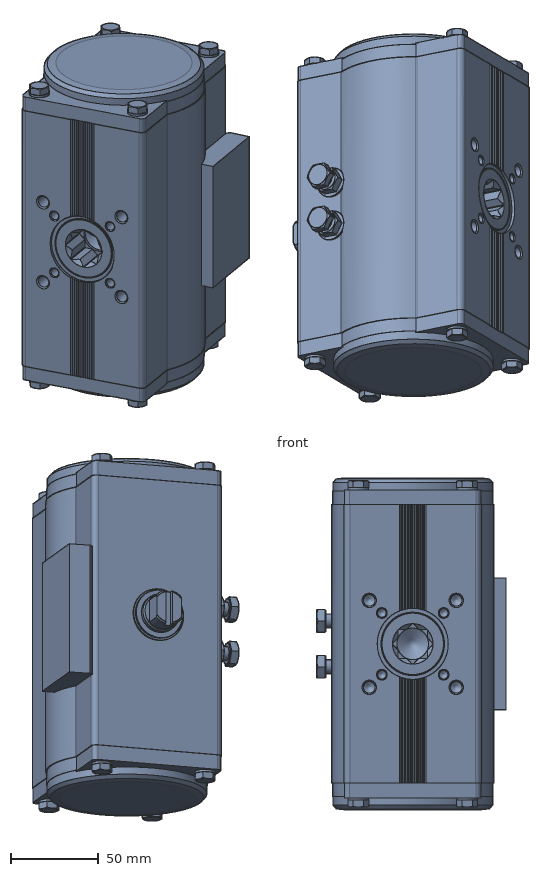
import cadquery as cq
import math


housing_half_length = 79.3
barrel_radius = 46.4
box_half_width = 39.2
box_half_depth = 55.0
box_corner_radius = 3.5
root_fillet = 1.5

serration_count = 11
serration_pitch = 1.36
serration_depth = 1.1
spigot_diameter = 40.5
spigot_depth = 1.9
spigot_floor_y = spigot_depth - box_half_depth
large_hole_offset = 24.8
large_hole_diameter = 6.6
large_hole_mouth = 8.1
large_hole_depth = 14.2
small_hole_offset = 17.6
small_hole_diameter = 5.0
small_hole_mouth = 6.0
small_hole_depth = 11.4
drill_point_angle = 118

pad_half_length = 37.7
pad_face_x = 53.2
pad_bottom_y = 6.5
pad_top_y = 54.9
pad_top_fall = 0.5
pad_root_x = 37.9
pad_chamfer = 1.7

cap_outer_z = 94.6
cap_plate_z = 87.8
cap_half_width = 38.8
cap_half_depth = 54.7
cap_corner_radius = 2.8
skirt_radius = 45.8
skirt_z = 87
drum_radius = 45.6
drum_wall_z = 92.0
crown_radius = 43.7
crown_z = 94.0
top_flat_radius = 38.8
cap_bolt_x = 31.0
cap_bolt_y = 47.0
cap_bolt_top_z = 93.1
cap_bolt_flat = 10.5
cap_bolt_face_diameter = 10.0
cap_bolt_washer_diameter = 11.5
cap_bolt_washer_height = 1.3

pinion_journal_diameter = 36.2
pinion_journal_chamfer = 0.5
pinion_journal_top_y = 0
pinion_neck_diameter = 22.0
pinion_neck_top_y = 62.0
pinion_neck_chamfer_width = 0.8
pinion_neck_chamfer_height = 1.5
flange_diameter = 30.1
flange_top_y = 56.2
collar_diameter = 28.0
collar_top_y = 57.7
shaft_diameter = 19.9
shaft_flat = 15.0
shaft_top_y = 75.0
shaft_chamfer = 1.0
shaft_slot_width = 4.0
shaft_slot_depth = 4.0
socket_flat = 16.7
socket_circle = 23.0
socket_lead_in_width = 2.8
socket_lead_in_height = 2.8
socket_depth = 19
socket_bore_diameter = 18.0
socket_bore_depth = 1.9

screw_y = 31.0
screw_z = 13.0
screw_head_x = -54.9
screw_head_height = 5.0
screw_collar_height = 0.5
screw_collar_diameter = 12.1
screw_diameter = 8.1
screw_end_x = -28.4
hex_flat = 13.0
hex_face_diameter = 12.1
hex_cone_angle = 30
nut_outer_x = -46.0
nut_washer_x = -40.3
nut_washer_diameter = 17.2


def cylinder_y(diameter, start_y, end_y):
    """Cylinder on the Y axis between two Y positions."""
    return cq.Workplane("XZ", origin=(0, start_y, 0)).circle(diameter / 2).extrude(start_y - end_y)


def side_plane(x, z):
    """Plane on a stop screw's axis, facing out along -X, with its own X axis along Y."""
    return cq.Plane(origin=(x, screw_y, z), xDir=(0, 1, 0), normal=(-1, 0, 0))


def screw_cylinder(z, diameter, inner_x, outer_x):
    """Cylinder on a stop screw's axis, from inner_x out to outer_x."""
    return cq.Workplane(side_plane(inner_x, z)).circle(diameter / 2).extrude(inner_x - outer_x)


def hexagon(plane, flat, height, face_diameter):
    """Hexagonal head with corners on the plane's X axis, coned at its far end to a round face."""
    corner_radius = flat / math.sqrt(3)
    fall = (corner_radius - face_diameter / 2) * math.tan(math.radians(hex_cone_angle))
    prism = cq.Workplane(plane).polygon(6, 2 * corner_radius).extrude(height)
    envelope = (
        cq.Workplane(plane)
        .circle(corner_radius)
        .extrude(height)
        .faces(cq.selectors.DirectionMinMaxSelector(plane.zDir, True))
        .chamfer(fall, corner_radius - face_diameter / 2)
    )
    return prism.intersect(envelope)


def rounded_block(half_width, half_depth, half_length, corner_radius):
    """Rectangular block with rounded edges along Z, centred on the origin."""
    block = cq.Workplane("XY").box(2 * half_width, 2 * half_depth, 2 * half_length)
    return block.edges("|Z").fillet(corner_radius)


def make_housing_blank():
    box = rounded_block(box_half_width, box_half_depth, housing_half_length, box_corner_radius)
    barrel = (
        cq.Workplane("XY", origin=(0, 0, -housing_half_length))
        .circle(barrel_radius)
        .extrude(2 * housing_half_length)
    )
    root_y = math.sqrt(barrel_radius**2 - box_half_width**2)
    blank = box.union(barrel)
    for side_x in (-box_half_width, box_half_width):
        for side_y in (-root_y, root_y):
            root_edge = cq.selectors.NearestToPointSelector((side_x, side_y, 0))
            blank = blank.edges("|Z").edges(root_edge).fillet(root_fillet)
    return blank


def make_valve_pad():
    return (
        cq.Workplane("XY", origin=(0, 0, -pad_half_length))
        .moveTo(pad_root_x, pad_bottom_y)
        .lineTo(pad_face_x, pad_bottom_y)
        .lineTo(pad_face_x, pad_top_y - pad_top_fall)
        .lineTo(box_half_width + pad_chamfer, pad_top_y)
        .lineTo(box_half_width, pad_top_y - pad_chamfer)
        .lineTo(pad_root_x, pad_top_y - pad_chamfer)
        .close()
        .extrude(2 * pad_half_length)
    )


def make_serrations():
    """Row of V grooves along Z in the mounting face."""
    left_x = -serration_count * serration_pitch / 2
    row = cq.Workplane("XY", origin=(0, -box_half_depth, -housing_half_length)).moveTo(left_x, 0)
    for index in range(serration_count):
        groove_x = left_x + index * serration_pitch
        row = row.lineTo(groove_x + serration_pitch / 2, serration_depth)
        row = row.lineTo(groove_x + serration_pitch, 0)
    row = row.lineTo(-left_x, -serration_depth).lineTo(left_x, -serration_depth).close()
    return row.extrude(2 * housing_half_length)


def make_mounting_hole(x, z, diameter, mouth, depth):
    """Blind drilled hole with a countersunk mouth and a conical bottom."""
    radius = diameter / 2
    countersink = (mouth - diameter) / 2
    point = radius / math.tan(math.radians(drill_point_angle / 2))
    profile = (
        cq.Workplane("XY")
        .lineTo(mouth / 2, 0)
        .lineTo(radius, countersink)
        .lineTo(radius, depth)
        .lineTo(0, depth + point)
        .close()
    )
    return profile.revolve(360, (0, 0), (0, 1)).translate((x, -box_half_depth, z))


def make_housing():
    housing = make_housing_blank().union(make_valve_pad()).cut(make_serrations())
    housing = housing.cut(cylinder_y(spigot_diameter, -box_half_depth, spigot_floor_y))
    housing = housing.cut(cylinder_y(pinion_journal_diameter, spigot_floor_y, pinion_journal_top_y))
    housing = housing.cut(cylinder_y(pinion_neck_diameter, pinion_journal_top_y, box_half_depth))
    for sign_x in (-1, 1):
        for sign_z in (-1, 1):
            large_hole = make_mounting_hole(
                sign_x * large_hole_offset,
                sign_z * large_hole_offset,
                large_hole_diameter,
                large_hole_mouth,
                large_hole_depth,
            )
            small_hole = make_mounting_hole(
                sign_x * small_hole_offset,
                sign_z * small_hole_offset,
                small_hole_diameter,
                small_hole_mouth,
                small_hole_depth,
            )
            housing = housing.cut(large_hole).cut(small_hole)
    for z in (-screw_z, screw_z):
        screw_hole = screw_cylinder(z, screw_diameter, screw_end_x, nut_outer_x)
        nut_seat = screw_cylinder(z, nut_washer_diameter, -box_half_width, nut_outer_x)
        housing = housing.cut(screw_hole).cut(nut_seat)
    return housing


def make_cap_bolt(x, y):
    washer = (
        cq.Workplane("XY", origin=(x, y, cap_plate_z))
        .circle(cap_bolt_washer_diameter / 2)
        .extrude(cap_bolt_washer_height)
    )
    head_z = cap_plate_z + cap_bolt_washer_height
    head_plane = cq.Plane(origin=(x, y, head_z), xDir=(1, 0, 0), normal=(0, 0, 1))
    head = hexagon(head_plane, cap_bolt_flat, cap_bolt_top_z - head_z, cap_bolt_face_diameter)
    return washer.union(head)


def make_top_cap():
    plate_height = cap_plate_z - housing_half_length
    plate = rounded_block(cap_half_width, cap_half_depth, plate_height / 2, cap_corner_radius)
    plate = plate.translate((0, 0, housing_half_length + plate_height / 2))
    drum = (
        cq.Workplane("XZ")
        .moveTo(0, housing_half_length)
        .lineTo(skirt_radius, housing_half_length)
        .lineTo(skirt_radius, skirt_z)
        .lineTo(drum_radius, skirt_z)
        .lineTo(drum_radius, drum_wall_z)
        .lineTo(crown_radius, crown_z)
        .lineTo(top_flat_radius, cap_outer_z)
        .lineTo(0, cap_outer_z)
        .close()
        .revolve(360, (0, 0), (0, 1))
    )
    cap = plate.union(drum)
    for x in (-cap_bolt_x, cap_bolt_x):
        for y in (-cap_bolt_y, cap_bolt_y):
            cap = cap.union(make_cap_bolt(x, y))
    return cap


def make_socket():
    """Double-square drive socket, open at the pinion's lower face, with a drilled bottom."""
    mouth_plane = cq.Plane(origin=(0, spigot_floor_y, 0), xDir=(1, 0, 0), normal=(0, 1, 0))
    square = cq.Workplane(mouth_plane).rect(socket_flat, socket_flat).extrude(socket_depth)
    diamond = square.rotate((0, 0, 0), (0, 1, 0), 45)
    corner_limit = cylinder_y(socket_circle, spigot_floor_y, spigot_floor_y + socket_depth)
    star = square.union(diamond).intersect(corner_limit)
    lead_in = (
        cq.Workplane("XY", origin=(0, spigot_floor_y, 0))
        .lineTo(socket_circle / 2, 0)
        .lineTo(socket_circle / 2 - socket_lead_in_width, socket_lead_in_height)
        .lineTo(0, socket_lead_in_height)
        .close()
        .revolve(360, (0, 0), (0, 1))
    )
    bore_radius = socket_bore_diameter / 2
    bore_point = bore_radius / math.tan(math.radians(drill_point_angle / 2))
    bore = (
        cq.Workplane("XY", origin=(0, spigot_floor_y + socket_depth, 0))
        .lineTo(bore_radius, 0)
        .lineTo(bore_radius, socket_bore_depth)
        .lineTo(0, socket_bore_depth + bore_point)
        .close()
        .revolve(360, (0, 0), (0, 1))
    )
    return star.union(lead_in).union(bore)


def make_pinion():
    journal = cylinder_y(pinion_journal_diameter, spigot_floor_y, pinion_journal_top_y)
    journal = journal.faces("<Y").chamfer(pinion_journal_chamfer)
    neck = cylinder_y(pinion_neck_diameter, pinion_journal_top_y, pinion_neck_top_y)
    neck = neck.faces(">Y").chamfer(pinion_neck_chamfer_height, pinion_neck_chamfer_width)
    flange = cylinder_y(flange_diameter, box_half_depth, flange_top_y)
    collar = cylinder_y(collar_diameter, flange_top_y, collar_top_y)
    shaft = cylinder_y(shaft_diameter, pinion_neck_top_y, shaft_top_y).faces(">Y").chamfer(shaft_chamfer)
    shaft_height = shaft_top_y - pinion_neck_top_y
    flats = cq.Workplane("XY").box(shaft_flat, shaft_height, shaft_diameter)
    shaft = shaft.intersect(flats.translate((0, pinion_neck_top_y + shaft_height / 2, 0)))
    slot = cq.Workplane("XY").box(shaft_slot_width, 2 * shaft_slot_depth, shaft_diameter)
    shaft = shaft.cut(slot.translate((0, shaft_top_y, 0)))
    pinion = journal.union(neck).union(flange).union(collar).union(shaft)
    return pinion.cut(make_socket())


def make_stop_screw(z):
    head_base_x = screw_head_x + screw_head_height
    collar_base_x = head_base_x + screw_collar_height
    head = hexagon(side_plane(head_base_x, z), hex_flat, screw_head_height, hex_face_diameter)
    collar = screw_cylinder(z, screw_collar_diameter, collar_base_x, head_base_x)
    shank = screw_cylinder(z, screw_diameter, screw_end_x, collar_base_x)
    return head.union(collar).union(shank)


def make_lock_nut(z):
    seat_x = -box_half_width
    washer = screw_cylinder(z, nut_washer_diameter, seat_x, nut_washer_x)
    body = hexagon(side_plane(nut_washer_x, z), hex_flat, nut_washer_x - nut_outer_x, hex_face_diameter)
    bore = screw_cylinder(z, screw_diameter, seat_x, nut_outer_x)
    return washer.union(body).cut(bore)


housing = make_housing()
top_cap = make_top_cap()
bottom_cap = top_cap.mirror("XY")
pinion = make_pinion()
stop_screws = [make_stop_screw(z).val() for z in (-screw_z, screw_z)]
lock_nuts = [make_lock_nut(z).val() for z in (-screw_z, screw_z)]

result = cq.Compound.makeCompound(
    [housing.val(), top_cap.val(), bottom_cap.val(), pinion.val(), *stop_screws, *lock_nuts]
)